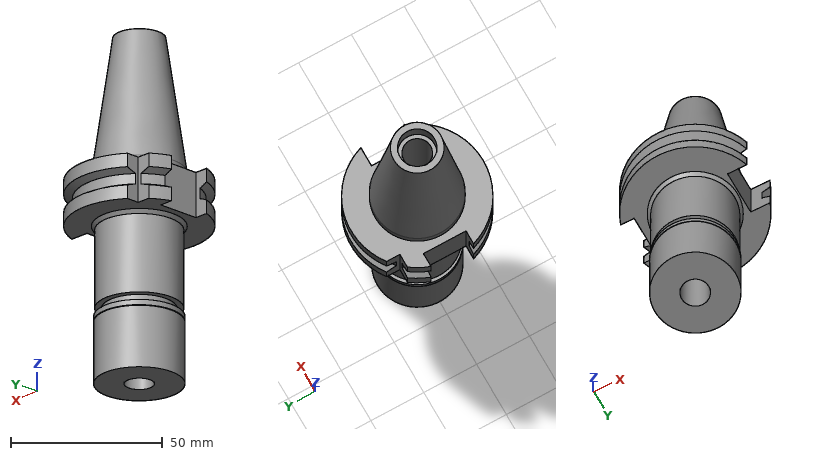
import cadquery as cq

total_height = 122.8
cylinder_top = 75.0
flange_top = 72.1
flange_bottom = 56.0
collar_bottom = 54.6
body_bottom = 26.8
ring_top = 24.0
ring_bottom = 22.1
ring_gap = 0.2
nut_top = ring_bottom - ring_gap

flange_diameter = 50.0
taper_top_radius = 8.8
gauge_radius = 15.8
flange_radius = flange_diameter / 2
body_radius = 14.7
neck_radius = 12.5
nut_radius = 15.1

groove_radius = 22.1
groove_floor_height = 3.7
groove_mouth_height = 6.5
groove_middle = (flange_top + flange_bottom) / 2

bore_radius = 5.0
socket_radius = 6.5
socket_depth = 5.8

slot_width = 16.1
left_slot_floor = 18.5
right_slot_floor = 16.5
notch_side = 15.0


def disc(radius, bottom, top):
    """Vertical cylinder on the main axis."""
    return cq.Workplane("XY").workplane(offset=bottom).circle(radius).extrude(top - bottom)


def flange_cut(x_start, x_end, y_start, y_end):
    """Rectangular block through the full flange height."""
    return cq.Workplane("XY").box(
        x_end - x_start, y_end - y_start, flange_top - flange_bottom, centered=False
    ).translate((x_start, y_start, flange_bottom))


def make_flange():
    """Grooved flange with two unequal drive slots and a corner notch."""
    half_floor = groove_floor_height / 2
    half_mouth = groove_mouth_height / 2
    flange = (
        cq.Workplane("XZ")
        .moveTo(0, flange_bottom)
        .lineTo(flange_radius, flange_bottom)
        .lineTo(flange_radius, groove_middle - half_mouth)
        .lineTo(groove_radius, groove_middle - half_floor)
        .lineTo(groove_radius, groove_middle + half_floor)
        .lineTo(flange_radius, groove_middle + half_mouth)
        .lineTo(flange_radius, flange_top)
        .lineTo(0, flange_top)
        .close()
        .revolve(360, (0, 0), (0, 1))
    )
    half_slot = slot_width / 2
    left_slot = flange_cut(-flange_radius, -left_slot_floor, -half_slot, half_slot)
    right_slot = flange_cut(right_slot_floor, flange_radius, -half_slot, half_slot)
    notch = flange_cut(-flange_radius, -notch_side, notch_side, flange_radius)
    return flange.cut(left_slot).cut(right_slot).cut(notch)


def make_holder():
    """Taper, flange, body and neck of the tool holder, bored through."""
    shank = (
        cq.Workplane("XZ")
        .moveTo(0, nut_top)
        .lineTo(neck_radius, nut_top)
        .lineTo(neck_radius, body_bottom)
        .lineTo(body_radius, body_bottom)
        .lineTo(body_radius, collar_bottom)
        .lineTo(gauge_radius, flange_bottom)
        .lineTo(gauge_radius, cylinder_top)
        .lineTo(taper_top_radius, total_height)
        .lineTo(0, total_height)
        .close()
        .revolve(360, (0, 0), (0, 1))
    )
    bore = disc(bore_radius, nut_top, total_height)
    socket = disc(socket_radius, total_height - socket_depth, total_height)
    return shank.union(make_flange()).cut(bore).cut(socket)


def make_sleeve(bottom, top, inner_radius):
    """Plain cylinder of the clamping nut diameter with a through hole."""
    return disc(nut_radius, bottom, top).cut(disc(inner_radius, bottom, top))


holder = make_holder()
ring = make_sleeve(ring_bottom, ring_top, neck_radius)
nut = make_sleeve(0, nut_top, bore_radius)

result = cq.Compound.makeCompound([holder.val(), ring.val(), nut.val()])